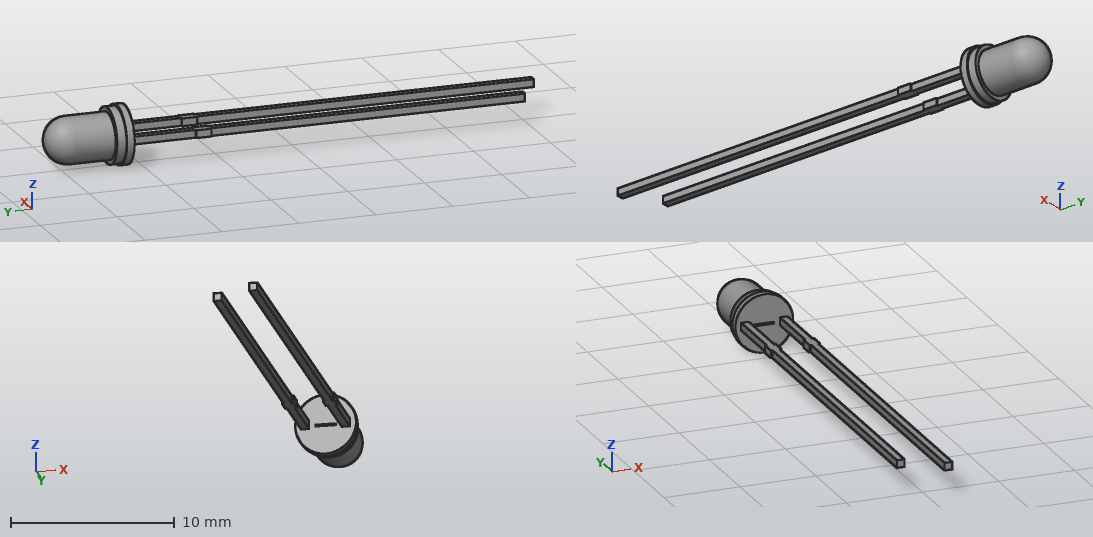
import cadquery as cq
import math

lens_diameter = 3.0
body_length = 5.2
rim_diameter = 3.8
rim_thickness = 0.5
collar_diameter = 3.6
flange_thickness = 1.1

lens_radius = lens_diameter / 2
rim_radius = rim_diameter / 2
collar_radius = collar_diameter / 2
dome_start = body_length - lens_radius

lead_pitch = 2.54
lead_thickness = 0.5
short_lead_length = 25.5
long_lead_length = 27.0
stop_width = 0.7
stop_start = 4.1
stop_length = 1.0

slit_length = lead_pitch / 2
slit_width = 0.1
slit_depth = 0.1


def make_body():
    """Domed lens with a two-step flange, revolved about the Y axis."""
    dome_mid = lens_radius * math.sqrt(0.5)
    profile = (
        cq.Workplane("XY")
        .lineTo(rim_radius, 0)
        .lineTo(rim_radius, rim_thickness)
        .lineTo(collar_radius, rim_thickness)
        .lineTo(collar_radius, flange_thickness)
        .lineTo(lens_radius, flange_thickness)
        .lineTo(lens_radius, dome_start)
        .threePointArc((dome_mid, dome_start + dome_mid), (0, body_length))
        .close()
    )
    return profile.revolve(360, (0, 0, 0), (0, 1, 0))


def make_bar(x, width, start, length):
    """Bar centred on x that begins at Y = -start and runs toward -Y."""
    bar = cq.Workplane("XY").box(width, length, lead_thickness)
    return bar.translate((x, -start - length / 2, 0))


def make_lead(x, length):
    """Square lead with a wider stand-off stop."""
    lead = make_bar(x, lead_thickness, 0, length)
    stop = make_bar(x, stop_width, stop_start, stop_length)
    return lead.union(stop)


def make_slit():
    """Cutter for the narrow slit in the flange face."""
    slit = cq.Workplane("XY").box(slit_length, slit_depth, slit_width)
    return slit.translate((0, slit_depth / 2, -slit_width / 2))


short_lead = make_lead(-lead_pitch / 2, short_lead_length)
long_lead = make_lead(lead_pitch / 2, long_lead_length)

result = make_body().cut(make_slit()).union(short_lead).union(long_lead)